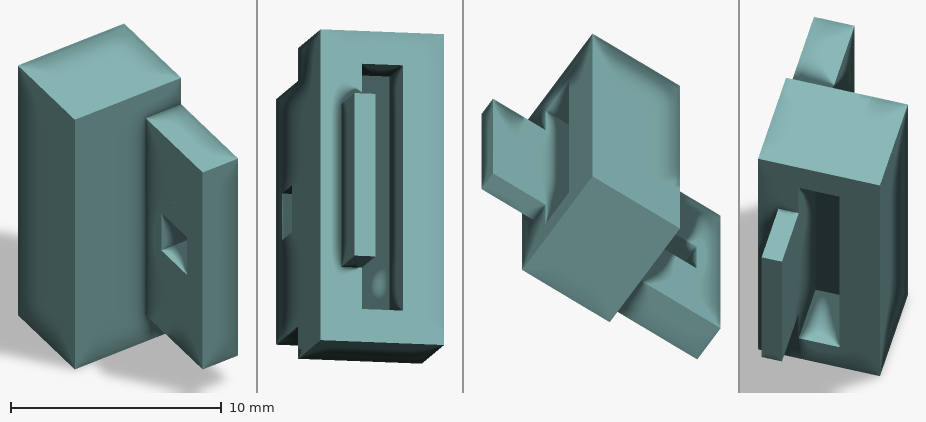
import cadquery as cq

housing_height = 15.0
housing_width = 6.0
housing_length = housing_height / 3
wall = housing_width / 3

slot_width = housing_width - 2 * wall
slot_height = 11.84
slot_depth = housing_length - wall

blade_reach = 3.0
blade_thickness = wall / 2
blade_height = 7.85

pad_thickness = 0.75
pad_height = housing_length

tab_length = housing_length
tab_thickness = wall
tab_height = slot_height
centre_height = pad_height
end_height = (tab_height - centre_height) / 2
window_side = 2.26

front_face_x = blade_reach
back_face_x = front_face_x + housing_length
housing_max_y = housing_width / 2
slot_max_y = slot_width / 2
slot_min_y = -slot_max_y
tab_min_y = housing_max_y - tab_thickness


def block(min_x, min_y, length, width, height, mid_z=0.0):
    """Box placed by its lowest X and Y and by its middle height."""
    return (
        cq.Workplane("XY")
        .box(length, width, height, centered=(False, False, True))
        .translate((min_x, min_y, mid_z))
    )


def make_blade():
    return block(0, slot_max_y, blade_reach + slot_depth, blade_thickness, blade_height)


def make_pad():
    pad_min_y = slot_min_y - pad_thickness
    return block(front_face_x, pad_min_y, slot_depth, pad_thickness, pad_height)


def make_housing(blade, pad):
    """Outer block with its blind slot and matching seats for blade and pad."""
    body = block(front_face_x, -housing_max_y, housing_length, housing_width, housing_height)
    slot = block(front_face_x, slot_min_y, slot_depth, slot_width, slot_height)
    return body.cut(slot).cut(blade).cut(pad)


def make_tab_centre():
    """Middle block of the tab with a square window through its thickness."""
    body = block(back_face_x, tab_min_y, tab_length, tab_thickness, centre_height)
    window_min_x = back_face_x + (tab_length - window_side) / 2
    window = block(window_min_x, tab_min_y, window_side, tab_thickness, window_side)
    return body.cut(window)


def make_tab_end(side):
    """Plain block above (side = 1) or below (side = -1) the tab centre."""
    mid_z = side * (centre_height + end_height) / 2
    return block(back_face_x, tab_min_y, tab_length, tab_thickness, end_height, mid_z)


blade = make_blade()
pad = make_pad()
housing = make_housing(blade, pad)
tab_centre = make_tab_centre()
tab_ends = [make_tab_end(side) for side in (-1, 1)]

result = cq.Compound.makeCompound(
    [
        housing.val(),
        blade.val(),
        pad.val(),
        tab_centre.val(),
        *[tab_end.val() for tab_end in tab_ends],
    ]
)